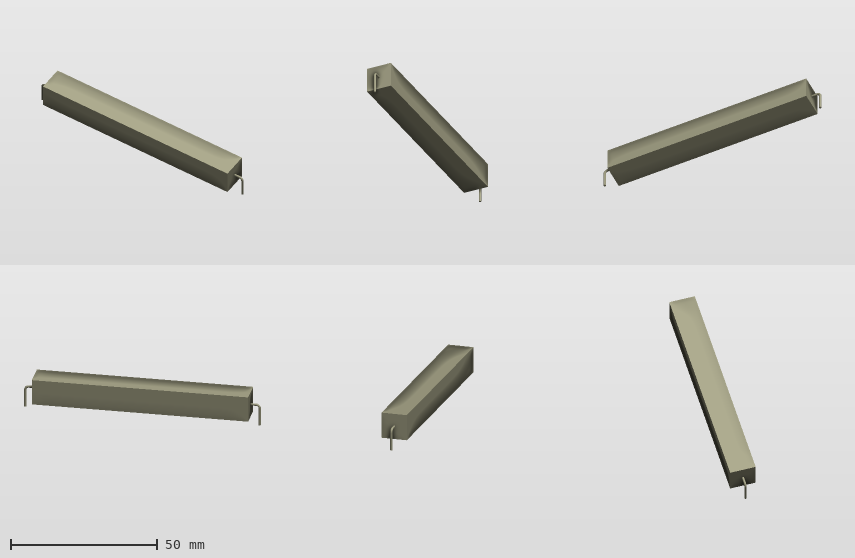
import cadquery as cq

body_length = 75.0
body_side = 9.0

overall_length = 82.1
overall_height = 12.0
lead_diameter = 0.8
bend_radius = 1.2

lead_drop = overall_height - body_side
lead_axis_x = (overall_length - lead_diameter) / 2
body_end_x = body_length / 2
embedded_length = 0.8


def make_lead(side):
    """Bent wire at the +X end (side = 1) or the -X end (side = -1)."""
    start_x = body_end_x - embedded_length
    bend_start_x = lead_axis_x - bend_radius
    tip_z = -body_side / 2 - lead_drop
    path = (
        cq.Workplane("XZ")
        .moveTo(side * start_x, 0)
        .lineTo(side * bend_start_x, 0)
        .tangentArcPoint((side * lead_axis_x, -bend_radius), relative=False)
        .lineTo(side * lead_axis_x, tip_z)
    )
    profile = cq.Workplane("YZ", origin=(side * start_x, 0, 0)).circle(lead_diameter / 2)
    return profile.sweep(path)


result = cq.Workplane("XY").box(body_length, body_side, body_side)
for side in (-1, 1):
    result = result.union(make_lead(side))